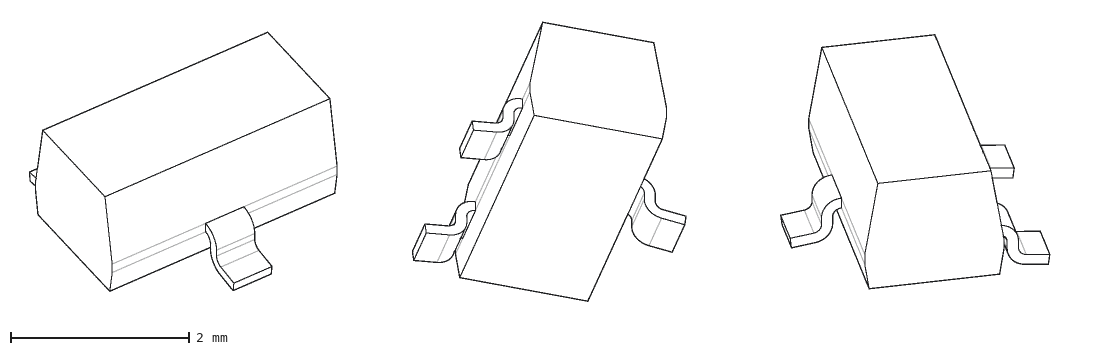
import cadquery as cq
import math


overall_height = 1.5
half_span = 1.39

body_length = 3.0
body_half_width = 0.8
body_top_half_width = 0.65
body_bottom_half_width = 0.75
body_bottom_z = 0.125

lead_thickness = 0.13
lead_width = 0.51
lead_pitch = 1.9
inner_bend_radius = 0.1
outer_bend_radius = inner_bend_radius + lead_thickness
foot_slope = math.radians(7)

band_top_z = 0.583
band_bottom_z = band_top_z - lead_thickness


def mirrored_in_x(points):
    """Mirrored copy of the points, in reverse order to close a loop."""
    return [(-x, z) for x, z in reversed(points)]


def make_body():
    """Six-sided tapered prism running along Y."""
    right_side = [
        (body_bottom_half_width, body_bottom_z),
        (body_half_width, band_bottom_z),
        (body_half_width, band_top_z),
        (body_top_half_width, overall_height),
    ]
    return (
        cq.Workplane("XZ")
        .polyline(right_side + mirrored_in_x(right_side))
        .close()
        .extrude(body_length / 2, both=True)
    )


def polar(center, radius, angle):
    """Point at a given angle on a circle in the XZ plane."""
    return (center[0] + radius * math.cos(angle), center[1] + radius * math.sin(angle))


def make_lead(side, center_y):
    """Gull-wing lead; side is +1 or -1 for the +X or -X face of the body."""
    upper_center = (body_half_width, band_bottom_z - inner_bend_radius)
    up = math.pi / 2
    upper_middle = math.pi / 4

    foot_angle = 1.5 * math.pi - foot_slope
    lower_middle = (math.pi + foot_angle) / 2
    lower_x = upper_center[0] + outer_bend_radius + inner_bend_radius
    along_foot = (math.cos(foot_slope), -math.sin(foot_slope))

    foot_start_x = lower_x - inner_bend_radius * math.sin(foot_slope)
    foot_length = (half_span - foot_start_x) / along_foot[0]

    lower_z = outer_bend_radius * math.cos(foot_slope) + foot_length * math.sin(foot_slope)
    lower_center = (lower_x, lower_z)

    def tip_corner(radius):
        x, z = polar(lower_center, radius, foot_angle)
        return (x + foot_length * along_foot[0], z + foot_length * along_foot[1])

    profile = (
        cq.Workplane("XZ")
        .moveTo(*polar(upper_center, outer_bend_radius, up))
        .threePointArc(
            polar(upper_center, outer_bend_radius, upper_middle),
            polar(upper_center, outer_bend_radius, 0),
        )
        .lineTo(*polar(lower_center, inner_bend_radius, math.pi))
        .threePointArc(
            polar(lower_center, inner_bend_radius, lower_middle),
            polar(lower_center, inner_bend_radius, foot_angle),
        )
        .lineTo(*tip_corner(inner_bend_radius))
        .lineTo(*tip_corner(outer_bend_radius))
        .lineTo(*polar(lower_center, outer_bend_radius, foot_angle))
        .threePointArc(
            polar(lower_center, outer_bend_radius, lower_middle),
            polar(lower_center, outer_bend_radius, math.pi),
        )
        .lineTo(*polar(upper_center, inner_bend_radius, 0))
        .threePointArc(
            polar(upper_center, inner_bend_radius, upper_middle),
            polar(upper_center, inner_bend_radius, up),
        )
        .close()
    )
    lead = profile.extrude(lead_width / 2, both=True)
    if side < 0:
        lead = lead.rotate((0, 0, 0), (0, 0, 1), 180)
    return lead.translate((0, center_y, 0))


body = make_body()

lead_places = [(-1, -lead_pitch / 2), (-1, lead_pitch / 2), (1, 0)]
leads = [make_lead(side, center_y) for side, center_y in lead_places]

result = cq.Compound.makeCompound([body.val(), *[lead.val() for lead in leads]])